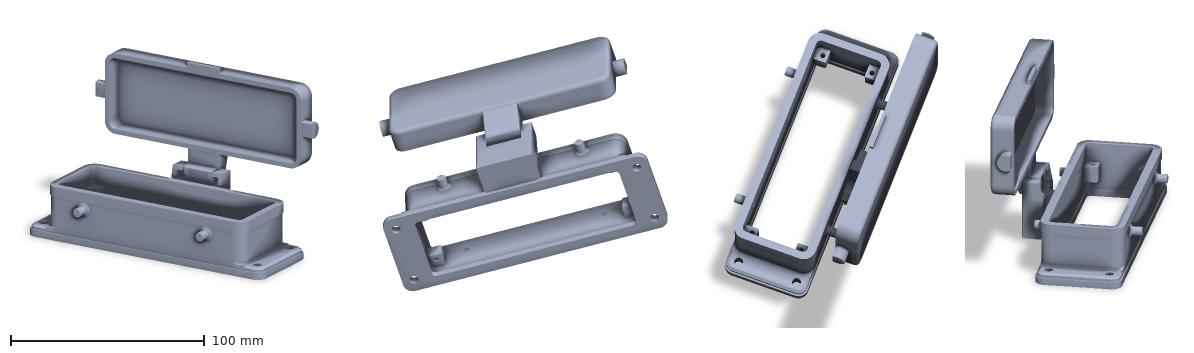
import cadquery as cq
base_length = 142.5
base_width = 45.2
base_corner = 5.1
base_height = 3.7

flange_inset = 0.9
flange_top = 6.1
flange_bevel_height = 1.0
flange_bevel_width = 1.4

body_length = 119.1
body_width = base_width - 2 * flange_inset
body_corner = 6.0
body_foot_radius = 0.9
rim_bottom = 23.7
rim_top = 29.0
rim_overhang = 0.4
opening_length = 112.0
opening_width = 35.6
opening_corner = 2.5
ledge_reduction = 0.7

mount_hole_diameter = 4.5
mount_hole_x = 65.0
mount_hole_y = 16.0
boss_x_inner = 48.7
boss_y_inner = 10.7
boss_bottom = 10.3
boss_top = 18.8
boss_edge_radius = 0.7
boss_hole_x = 52.0
boss_hole_y = 13.5
boss_hole_diameter = 2.5
boss_hole_bevel = 0.4

stud_x = 37.2
stud_z = 19.5
stud_radius = 2.4
stud_end_y = 28.2
stud_end_bevel = 0.3
stud_collar_radius = 4.1
stud_collar_length = 1.1

stud_dimple_radius = 1.5
dimple_depth = 0.3
centre_dimple_radius = 1.9
centre_dimple_z = 7.7

bracket_half = 15.0
bracket_back = 38.9
bracket_front = 28.1
bracket_top_front = 29.9
bracket_slope_bottom = 23.7
bracket_bottom = 2.3
bracket_top = 33.3
bracket_bevel = 0.5
foot_front = 23.2
foot_top = 4.0
slot_half = 9.4
slot_floor = 20.0
lip_top = 23.2
pocket_outer = 13.0
pocket_bottom = 26.1
pocket_top = 31.4
pocket_back = 33.5

web_half = 14.7
web_top_half = 2.7
web_neck_half = 4.8
web_neck_z = 15.0
web_flare_half = 11.0
web_flare_z = 9.3
web_side_z = 7.0
web_flare_sag = 1.1

cover_length = body_length
cover_bottom = 41.9
cover_top = 85.6
cover_front = 35.3
cover_back = 47.7
cover_corner = 6.4
cover_back_radius = 2.1
cover_wall = 2.5
cover_pocket_depth = 9.3
tab_half = 9.5
tab_top = 88.5
tab_thickness = 1.9

pin_end_x = 65.8
pin_y = 38.5
pin_z = 63.8
pin_radius = 4.4
pin_flat_y = 36.2

strap_half = 9.3
strap_front = 35.8
strap_bottom = 24.7
strap_bottom_back = 41.5
strap_root_back = 47.0
strap_bevel = 0.5
hook_half = 8.4
hook_front = 30.6
hook_top = 33.9
hook_bottom = 20.7
hook_leg_bottom = 29.4
hook_bevel = 0.9
hook_recess_half = 5.8
hook_recess_top = 32.8
hook_recess_depth = 1.0

SIDES = (-1, 1)


def block(x0, x1, y0, y1, z0, z1):
    """Box between two opposite corners."""
    return cq.Workplane("XY").box(x1 - x0, y1 - y0, z1 - z0, centered=False).translate((x0, y0, z0))


def rounded_slab(length, width, corner, z0, z1):
    """Slab centred on the Z axis with rounded vertical edges."""
    slab = block(-length / 2, length / 2, -width / 2, width / 2, z0, z1)
    return slab.edges("|Z").fillet(corner)


def profile_along_x(points, half):
    """Solid with a (y, z) outline, centred on the YZ plane."""
    return cq.Workplane("YZ").polyline(points).close().extrude(half, both=True)


def rod_along_y(radius, x, z, y0, y1):
    """Round rod parallel to the Y axis."""
    start = cq.Vector(x, y0, z)
    return cq.Workplane(obj=cq.Solid.makeCylinder(radius, abs(y1 - y0), start, cq.Vector(0, y1 - y0, 0)))


def flange():
    """Base plate with a smaller bevelled step on top."""
    plate = rounded_slab(base_length, base_width, base_corner, 0, base_height)
    step = rounded_slab(
        base_length - 2 * flange_inset, body_width, base_corner - flange_inset, base_height, flange_top
    )
    step = step.faces(">Z").chamfer(flange_bevel_height, flange_bevel_width)
    return plate.union(step)


def frame_walls():
    """Outer block of the frame with its overhanging rim, still without the opening."""
    walls = rounded_slab(body_length, body_width, body_corner, base_height, rim_bottom)
    rim = rounded_slab(
        body_length + 2 * rim_overhang,
        body_width + 2 * rim_overhang,
        body_corner + rim_overhang,
        rim_bottom,
        rim_top,
    )
    return walls.union(rim)


def foot_fillet():
    """Concave fillet where the end walls meet the flange, trimmed flush with the long walls."""
    floor_level = flange_top - body_foot_radius
    ground = block(
        -body_length / 2 - body_foot_radius,
        body_length / 2 + body_foot_radius,
        -base_width,
        base_width,
        floor_level,
        flange_top,
    )
    walls = rounded_slab(body_length, body_width, body_corner, flange_top, rim_bottom)
    corner_box = cq.selectors.BoxSelector(
        (-base_length, -body_width, flange_top - 0.01), (base_length, body_width, flange_top + 0.01)
    )
    filleted = ground.union(walls).edges(corner_box).edges("not(<X or >X or <Y or >Y)")
    filleted = filleted.fillet(body_foot_radius * 0.99)
    return filleted.intersect(
        block(-base_length, base_length, -body_width / 2, body_width / 2, floor_level, rim_bottom)
    )


def screw_boss(side_x, side_y):
    """Boss in one inner corner, with a countersunk screw hole."""
    boss = block(
        boss_x_inner, opening_length / 2 + 1.4, boss_y_inner, opening_width / 2 + 1.4, boss_bottom, boss_top
    )
    boss = boss.edges("|Z and <X and <Y").fillet(boss_edge_radius)
    hole = cq.Workplane("XY", origin=(boss_hole_x, boss_hole_y, boss_bottom)).circle(
        boss_hole_diameter / 2
    )
    boss = boss.cut(hole.extrude(boss_top - boss_bottom))
    boss = boss.faces(">Z").edges("%CIRCLE").edges(cq.selectors.RadiusNthSelector(-1))
    boss = boss.chamfer(boss_hole_bevel)
    if side_x < 0:
        boss = boss.mirror("YZ")
    if side_y < 0:
        boss = boss.mirror("XZ")
    return boss


def side_stud(x, side):
    """Stud on a long wall, with a flared collar at its root."""
    wall = body_width / 2
    stud = rod_along_y(stud_radius, x, stud_z, wall - stud_collar_length, stud_end_y)
    stud = stud.faces(">Y").chamfer(stud_end_bevel)
    collar = cq.Solid.makeCone(
        stud_collar_radius,
        stud_radius,
        stud_collar_length,
        cq.Vector(x, wall, stud_z),
        cq.Vector(0, 1, 0),
    )
    stud = stud.union(cq.Workplane(obj=collar))
    return stud if side > 0 else stud.mirror("XZ")


def wall_dimple(radius, x, z, side):
    """Shallow round recess on the inner face of a long wall."""
    wall = side * opening_width / 2
    return rod_along_y(radius, x, z, wall, wall + side * dimple_depth)


def web_flare_middle(side):
    """Middle point of the concave arc between the neck and a shoulder of the web."""
    middle_x = (web_neck_half + web_flare_half) / 2 - web_flare_sag
    middle_z = (web_neck_z + web_flare_z) / 2 - web_flare_sag
    return (side * middle_x, middle_z)


def bracket_web():
    """Flared web, seen along Y as a narrow neck that spreads into two side shoulders."""
    web = (
        cq.Workplane("XZ", origin=(0, body_width / 2, 0))
        .moveTo(-web_half, foot_top)
        .lineTo(-web_half, web_side_z)
        .lineTo(-web_flare_half, web_flare_z)
        .threePointArc(web_flare_middle(-1), (-web_neck_half, web_neck_z))
        .lineTo(-web_top_half, lip_top)
        .lineTo(web_top_half, lip_top)
        .lineTo(web_neck_half, web_neck_z)
        .threePointArc(web_flare_middle(1), (web_flare_half, web_flare_z))
        .lineTo(web_half, web_side_z)
        .lineTo(web_half, foot_top)
        .close()
    )
    return web.extrude(body_width / 2 - bracket_top_front)


def hinge_bracket():
    """Bracket with a slot for the strap, side pockets and a foot, joined to the frame by the web."""
    bracket = profile_along_x(
        [
            (bracket_back, bracket_bottom),
            (bracket_back, bracket_top),
            (bracket_top_front, bracket_top),
            (bracket_front, bracket_slope_bottom),
            (bracket_front, foot_top),
            (foot_front, foot_top),
            (foot_front, bracket_bottom),
        ],
        bracket_half,
    )
    bracket = bracket.faces(">Y").edges().chamfer(bracket_bevel)
    bracket = bracket.cut(block(-slot_half, slot_half, 0, bracket_back, lip_top, bracket_top))
    bracket = bracket.cut(
        block(-slot_half, slot_half, bracket_top_front, bracket_back, slot_floor, bracket_top)
    )
    pockets = block(-pocket_outer, pocket_outer, 0, pocket_back, pocket_bottom, pocket_top)
    return bracket.cut(pockets).union(bracket_web())


def make_housing():
    """Flanged frame with studs, screw bosses and the hinge bracket."""
    housing = flange().union(frame_walls()).union(foot_fillet()).union(hinge_bracket())
    housing = housing.cut(
        rounded_slab(opening_length, opening_width, opening_corner, base_height, rim_top)
    )
    housing = housing.cut(
        rounded_slab(
            opening_length - 2 * ledge_reduction,
            opening_width - 2 * ledge_reduction,
            opening_corner,
            0,
            base_height,
        )
    )
    for side_x in SIDES:
        for side_y in SIDES:
            hole = cq.Workplane("XY").center(side_x * mount_hole_x, side_y * mount_hole_y)
            housing = housing.cut(hole.circle(mount_hole_diameter / 2).extrude(flange_top))
            housing = housing.union(screw_boss(side_x, side_y))
            housing = housing.union(side_stud(side_x * stud_x, side_y))
            housing = housing.cut(wall_dimple(stud_dimple_radius, side_x * stud_x, stud_z, side_y))
    return housing.cut(wall_dimple(centre_dimple_radius, 0, centre_dimple_z, 1))


def cover_shell():
    """Shallow tray, open towards -Y, with a tab on its top edge."""
    depth = cover_back - cover_front
    height = cover_top - cover_bottom
    middle_z = (cover_top + cover_bottom) / 2
    rim_plane = cq.Workplane("XZ", origin=(0, cover_front, middle_z))
    shell = rim_plane.rect(cover_length, height).extrude(-depth)
    shell = shell.edges("|Y").fillet(cover_corner).faces(">Y").edges().fillet(cover_back_radius)
    pocket = rim_plane.rect(cover_length - 2 * cover_wall, height - 2 * cover_wall)
    pocket = pocket.extrude(-cover_pocket_depth).edges("|Y").fillet(cover_corner - cover_wall)
    tab = block(
        -tab_half, tab_half, cover_front, cover_front + tab_thickness, cover_top - cover_wall, tab_top
    )
    return shell.cut(pocket).union(tab)


def cover_pin(side):
    """Flatted pin on one end wall of the cover."""
    root_x = cover_length / 2 - cover_wall / 2
    pin = cq.Workplane("YZ", origin=(side * root_x, pin_y, pin_z)).circle(pin_radius)
    pin = pin.extrude(side * (pin_end_x - root_x))
    return pin.intersect(
        block(-base_length, base_length, pin_flat_y, cover_back, cover_bottom, cover_top)
    )


def strap():
    """Tapered strap below the cover, ending in a recessed hook."""
    tongue = profile_along_x(
        [
            (strap_front, cover_bottom + cover_wall / 2),
            (strap_front, strap_bottom),
            (strap_bottom_back, strap_bottom),
            (strap_root_back, cover_bottom + cover_wall / 2),
        ],
        strap_half,
    )
    tongue = tongue.faces(">Y").edges().chamfer(strap_bevel)
    hook = block(-hook_half, hook_half, hook_front, strap_front, hook_bottom, hook_top)
    hook = hook.edges("<Y and >Z").chamfer(hook_bevel)
    recess = block(
        -hook_recess_half,
        hook_recess_half,
        hook_front,
        hook_front + hook_recess_depth,
        hook_leg_bottom,
        hook_recess_top,
    )
    relief = block(
        -hook_half, hook_half, hook_front, hook_front + hook_recess_depth, hook_bottom, hook_leg_bottom
    )
    return tongue.union(hook.cut(recess).cut(relief))


def make_cover():
    """Hinged cover with end pins and its strap."""
    cover = cover_shell().union(strap())
    for side in SIDES:
        cover = cover.union(cover_pin(side))
    return cover


housing = make_housing()
cover = make_cover()
result = cq.Compound.makeCompound([housing.val(), cover.val()])